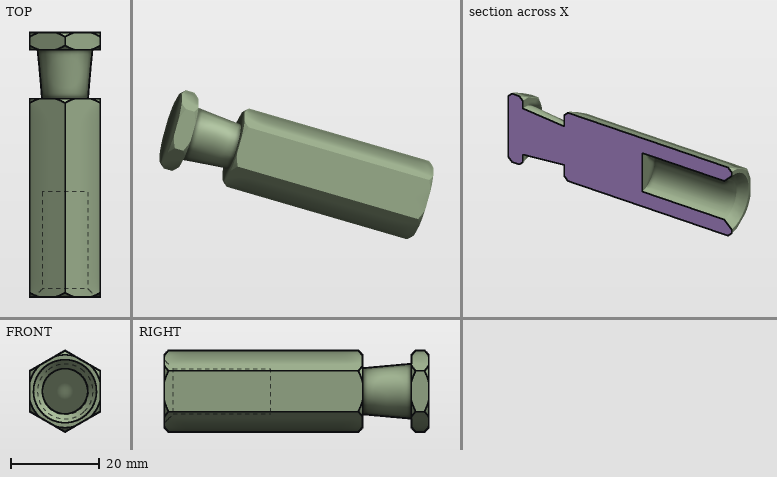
import cadquery as cq
import math

across_flats = 16.0
corner_radius = across_flats / math.sqrt(3)
corner_chamfer = 1.0

body_length = 45.0
neck_length = 11.0
head_length = 4.0

neck_body_diameter = 10.5
neck_head_diameter = 12.5

bore_diameter = 10.25
bore_depth = 24.0
mouth_diameter = 14.3
mouth_depth = 2.0


def revolve_about_y(profile):
    """Solid of revolution about Y from (radius, y) points."""
    side_points = [(y, radius) for radius, y in profile]
    return cq.Workplane("YZ").polyline(side_points).close().revolve(360, (0, 0), (1, 0))


def hex_bar(start, length):
    """Hexagonal bar along Y with its corners turned off at 45 degrees on both ends."""
    corners = [
        (
            corner_radius * math.sin(math.radians(60 * i)),
            corner_radius * math.cos(math.radians(60 * i)),
        )
        for i in range(6)
    ]
    end = start + length
    prism = cq.Workplane("XZ", origin=(0, start, 0)).polyline(corners).close().extrude(-length)

    clearance = corner_chamfer / 2
    outer_radius = corner_radius + clearance
    face_radius = corner_radius - corner_chamfer
    cone_length = corner_chamfer + clearance
    envelope = revolve_about_y([
        (0, start),
        (face_radius, start),
        (outer_radius, start + cone_length),
        (outer_radius, end - cone_length),
        (face_radius, end),
        (0, end),
    ])
    return prism.intersect(envelope)


def neck():
    """Tapered round neck between the body and the head."""
    neck_end = body_length + neck_length
    return revolve_about_y([
        (0, body_length),
        (neck_body_diameter / 2, body_length),
        (neck_head_diameter / 2, neck_end),
        (0, neck_end),
    ])


def bore():
    """Flat-bottomed bore and its conical mouth, as a cutting tool."""
    return revolve_about_y([
        (0, 0),
        (mouth_diameter / 2, 0),
        (bore_diameter / 2, mouth_depth),
        (bore_diameter / 2, bore_depth),
        (0, bore_depth),
    ])


body = hex_bar(0, body_length).cut(bore())
head = hex_bar(body_length + neck_length, head_length)

overall_length = body_length + neck_length + head_length
result = body.union(neck()).union(head).translate((0, -overall_length / 2, 0))